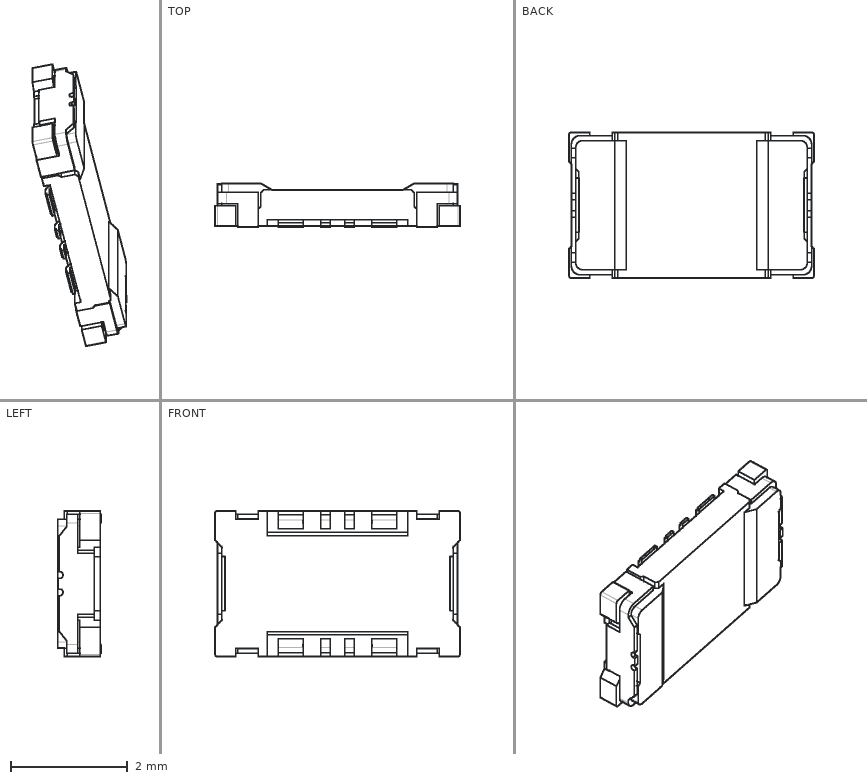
import cadquery as cq

LENGTH = 4.2
HEIGHT = 2.5
FRONT_PROUD = 0.015
BACK_Y = 0.735

HALF_X = LENGTH / 2
HALF_Z = HEIGHT / 2

CORE_HALF_X = 1.982
CORE_HALF_Z = 1.105
CORE_RADIUS = 0.115
END_RECESS_X = 1.93
PLATE_THICKNESS = 0.105
SLOT_HALF_Z = 0.46

BLOCK_DEPTH = 0.353
BLOCK_INNER_X = 1.745
BLOCK_INNER_Z = 0.748
BLOCK_EDGE_RADIUS = 0.04
END_SLOPE = 1.05
END_RECESS_HALF_Z = BLOCK_INNER_Z - (HALF_X - END_RECESS_X) * END_SLOPE
PLATE_CORNER_Z = BLOCK_INNER_Z - (HALF_X - CORE_HALF_X) * END_SLOPE

MIDDLE_HALF_X = 1.36
MIDDLE_BACK_Y = 0.62
MIDDLE_NECK_X = 1.315
MIDDLE_CHAMFER = 0.05
NECK_START_Y = 0.29
RAMP_END_X = 1.12

SHELL_HALF_X = 2.06
SHELL_HALF_Z = 1.193
SHELL_RADIUS = 0.15
SHELL_FRONT_Y = 0.385
SHELL_BACK_Y = 0.58
TAB_OUTER_X = 1.705
TAB_BEVEL = 0.013

LEG_HALF_Z = 0.52
WALL_BACK_Y = 0.71
WALL_BASE_HALF_Z = 0.975
WALL_BACK_HALF_Z = 0.815
TONGUE_BACK_Y = 0.722
TONGUE_HALF_Z = 0.092
RELIEF_OUTER_Z = 0.205
RELIEF_MID_Z = 0.135
RELIEF_BOTTOM_Y = 0.643
RELIEF_ARC_Y = 0.68

RECESS_HALF_X = 1.2
RECESS_DEPTH = 0.11
RECESS_FLOOR_Z = 0.878
RECESS_MOUTH_Z = 0.825
CONTACT_SPANS = ((0.12, 0.29), (0.59, 1.015))
CONTACT_ROOT_Z = 0.94
CONTACT_FLAT_Z = 1.09
CONTACT_STEP_Z = 1.18
CONTACT_TIP_Z = 1.247
CONTACT_TIP_Y = 0.01
CONTACT_BACK_Y = 0.055
CONTACT_ARC_POINT = (0.013, 1.01)
CONTACT_FOOT_Z = 1.045
CONTACT_BEND_Z = 1.075


def box(x0, x1, y0, y1, z0, z1):
    """Box between two opposite corners."""
    return cq.Workplane("XY").box(x1 - x0, y1 - y0, z1 - z0, centered=False).translate((x0, y0, z0))


def centred_slab(half_x, half_z, y0, y1, radius):
    """Plate centred on the Y axis with its four corners rounded."""
    return box(-half_x, half_x, y0, y1, -half_z, half_z).edges("|Y").fillet(radius)


def face_prism(points, y0, y1):
    """Polygon given in X and Z, standing from y0 to y1."""
    return cq.Workplane("XZ", origin=(0, y1, 0)).polyline(points).close().extrude(y1 - y0)


def plan_prism(points, half_z):
    """Polygon given in X and Y, extruded equally to both sides in Z."""
    return cq.Workplane("XY").polyline(points).close().extrude(half_z, both=True)


def both_ends(shape):
    return shape.union(shape.mirror("YZ"))


def both_sides(shape):
    return shape.union(shape.mirror("XY"))


def make_core():
    """Rounded core with a low middle, ramps up to both ends and end recesses."""
    core = centred_slab(CORE_HALF_X, CORE_HALF_Z, 0, BACK_Y, CORE_RADIUS)
    valley = plan_prism(
        [
            (-RAMP_END_X, MIDDLE_BACK_Y),
            (RAMP_END_X, MIDDLE_BACK_Y),
            (MIDDLE_NECK_X, BACK_Y),
            (-MIDDLE_NECK_X, BACK_Y),
        ],
        HALF_Z,
    )
    end_recess = face_prism(
        [
            (-HALF_X, BLOCK_INNER_Z),
            (-END_RECESS_X, END_RECESS_HALF_Z),
            (-END_RECESS_X, -END_RECESS_HALF_Z),
            (-HALF_X, -BLOCK_INNER_Z),
        ],
        PLATE_THICKNESS,
        BACK_Y,
    )
    slot = box(-HALF_X, -END_RECESS_X, 0, PLATE_THICKNESS, -SLOT_HALF_Z, SLOT_HALF_Z)
    return core.cut(valley).cut(both_ends(end_recess.union(slot)))


def make_corner_blocks():
    """Four blocks forming the outermost corners of the body."""
    block = face_prism(
        [
            (-HALF_X, HALF_Z),
            (-BLOCK_INNER_X, HALF_Z),
            (-BLOCK_INNER_X, PLATE_CORNER_Z),
            (-CORE_HALF_X, PLATE_CORNER_Z),
            (-HALF_X, BLOCK_INNER_Z),
        ],
        0,
        BLOCK_DEPTH,
    )
    block = block.edges("|Y and <X and >Z").fillet(BLOCK_EDGE_RADIUS)
    return both_ends(both_sides(block))


def make_middle_block():
    """Full-height middle block, stepped narrower toward the back."""
    neck_step = MIDDLE_HALF_X - MIDDLE_NECK_X
    half_outline = [
        (MIDDLE_HALF_X, 0),
        (MIDDLE_HALF_X, NECK_START_Y),
        (MIDDLE_NECK_X, NECK_START_Y + neck_step),
        (MIDDLE_NECK_X, MIDDLE_BACK_Y - MIDDLE_CHAMFER),
        (MIDDLE_NECK_X - MIDDLE_CHAMFER, MIDDLE_BACK_Y),
    ]
    other_half = [(-x, y) for x, y in reversed(half_outline)]
    return plan_prism(half_outline + other_half, HALF_Z)


def make_shell_band():
    """Shell walls around the ends, with tabs reaching past the front face."""
    band = centred_slab(SHELL_HALF_X, SHELL_HALF_Z, SHELL_FRONT_Y, SHELL_BACK_Y, SHELL_RADIUS)
    inside = centred_slab(CORE_HALF_X, CORE_HALF_Z, SHELL_FRONT_Y, SHELL_BACK_Y, CORE_RADIUS)
    middle_gap = box(-MIDDLE_HALF_X, MIDDLE_HALF_X, SHELL_FRONT_Y, SHELL_BACK_Y, -HALF_Z, HALF_Z)
    tab = box(-TAB_OUTER_X, -MIDDLE_HALF_X, -FRONT_PROUD, SHELL_BACK_Y, CORE_HALF_Z, SHELL_HALF_Z)
    tab = tab.edges("|X and <Y and <Z").chamfer(TAB_BEVEL)
    return band.cut(inside).cut(middle_gap).union(both_ends(both_sides(tab)))


def make_end_walls():
    """End walls with a front leg, sloped back shoulders and a relieved tongue."""
    half_wall = (
        cq.Workplane("YZ", origin=(-SHELL_HALF_X, 0, 0))
        .moveTo(PLATE_THICKNESS, 0)
        .lineTo(PLATE_THICKNESS, LEG_HALF_Z)
        .lineTo(SHELL_FRONT_Y, LEG_HALF_Z)
        .lineTo(SHELL_FRONT_Y, WALL_BASE_HALF_Z)
        .lineTo(SHELL_BACK_Y, WALL_BASE_HALF_Z)
        .lineTo(WALL_BACK_Y, WALL_BACK_HALF_Z)
        .lineTo(WALL_BACK_Y, RELIEF_OUTER_Z)
        .threePointArc((RELIEF_BOTTOM_Y, RELIEF_MID_Z), (RELIEF_ARC_Y, TONGUE_HALF_Z))
        .lineTo(TONGUE_BACK_Y, TONGUE_HALF_Z)
        .lineTo(TONGUE_BACK_Y, 0)
        .close()
        .extrude(SHELL_HALF_X - CORE_HALF_X)
    )
    return both_ends(both_sides(half_wall))


def make_contact_recesses():
    """Front recesses along both long sides, with a sloped inner wall."""
    recess = (
        cq.Workplane("YZ")
        .polyline([(0, RECESS_MOUTH_Z), (RECESS_DEPTH, RECESS_FLOOR_Z), (RECESS_DEPTH, HALF_Z), (0, HALF_Z)])
        .close()
        .extrude(RECESS_HALF_X, both=True)
    )
    return both_sides(recess)


def make_contact(x0, x1):
    """One bent contact strip, rising in an arc from its foot on the recess floor."""
    return (
        cq.Workplane("YZ", origin=(x0, 0, 0))
        .moveTo(RECESS_DEPTH, CONTACT_ROOT_Z)
        .threePointArc(CONTACT_ARC_POINT, (-FRONT_PROUD, CONTACT_FLAT_Z))
        .lineTo(-FRONT_PROUD, CONTACT_STEP_Z)
        .lineTo(CONTACT_TIP_Y, CONTACT_STEP_Z)
        .lineTo(CONTACT_TIP_Y, CONTACT_TIP_Z)
        .lineTo(CONTACT_BACK_Y, CONTACT_TIP_Z)
        .lineTo(CONTACT_BACK_Y, CONTACT_BEND_Z)
        .lineTo(RECESS_DEPTH, CONTACT_FOOT_Z)
        .close()
        .extrude(x1 - x0)
    )


result = make_core().union(make_corner_blocks()).union(make_middle_block())
result = result.cut(make_contact_recesses())
result = result.union(make_shell_band()).union(make_end_walls())
for inner_x, outer_x in CONTACT_SPANS:
    result = result.union(both_ends(both_sides(make_contact(inner_x, outer_x))))